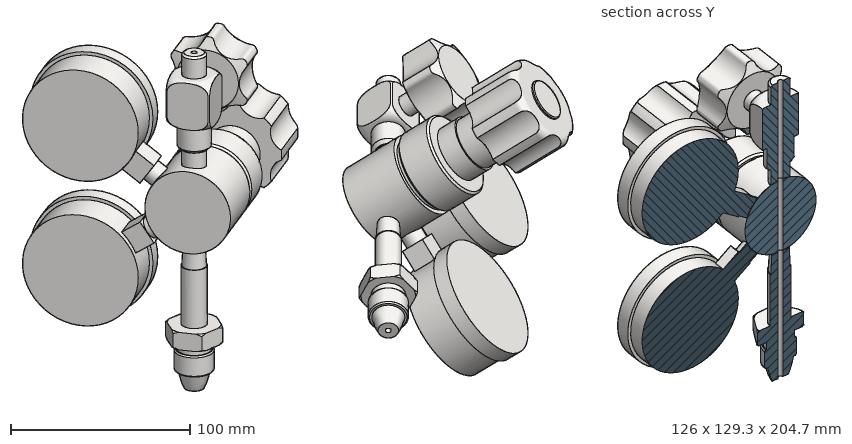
import cadquery as cq
import math


bore_radius = 1.6

body_radius = 25.0
body_front = -12.5
body_back = 24.5
groove_radius = 22.3
bonnet_front = 27.0
bonnet_back = 49.1
bonnet_chamfer = 1.2
wide_barrel_radius = 16.8
wide_barrel_back = 61.8
barrel_radius = 15.8
barrel_back = 74.5
spindle_radius = 7.5

knob_radius = 27.2
knob_front = 77.8
knob_back = 113.2
knob_fillet = 4.7
knob_flute_count = 8
knob_flute_radius = 11.5
knob_flute_offset = 34.8
button_radius = 12.0
button_height = 1.5
button_chamfer = 0.6

gauge_center_x = -63.0
gauge_center_z = 44.2
gauge_case_radius = 33.8
gauge_rim_radius = 35.8
gauge_front = -10.8
gauge_rim_front = 10.5
gauge_back = 19.9
gauge_neck_width = 14.3
gauge_neck_end = 31.0
gauge_stub_radius = 6.5

valve_pipe_radius = 7.0
valve_top = 92.7
valve_top_chamfer = 1.2
valve_block_center = 64.9
valve_block_width = 25.4
valve_block_height = 29.3
valve_block_crown_radius = 17.4
valve_block_crown_fillet = 7.0
valve_collar_radius = 9.6
valve_collar_bottom = 36.5
valve_collar_chamfer = 2.0
valve_stem_radius = 6.3

wheel_radius = 25.0
wheel_front = 25.5
wheel_back = 51.0
wheel_face_radius = 18.0
wheel_bevel_depth = 3.0
wheel_flute_count = 6
wheel_flute_radius = 14.5
wheel_flute_offset = 33.0
wheel_lobe_fillet = 2.5

inlet_thread_radius = 6.3
inlet_thread_end = -37.2
inlet_thread_end_radius = 7.0
inlet_pipe_radius = 7.4
nut_top = -72.9
nut_bottom = -83.5
nut_flat_width = 28.6
nut_turn = 2
nut_face_radius = 15.1
nut_chamfer_height = 1.0
inlet_neck_radius = 9.8
gland_top = -88.2
gland_bottom = -101.0
gland_radius = 11.3
gland_chamfer = 0.8
nose_radius = 9.2
nose_mid_radius = 7.8
nose_mid_z = -106.8
nose_tip_radius = 5.7
inlet_bottom = -112.0


def turned_y(outline):
    """Solid turned about the Y axis from (radius, y) points."""
    return cq.Workplane("XY").polyline(outline).close().revolve(360, (0, 0), (0, 1))


def turned_z(outline):
    """Solid turned about the Z axis from (radius, z) points."""
    return cq.Workplane("XZ").polyline(outline).close().revolve(360, (0, 0), (0, 1))


def cylinder_y(radius, start, end):
    """Cylinder on the Y axis between two Y positions."""
    return cq.Workplane("XZ", origin=(0, start, 0)).circle(radius).extrude(start - end)


def cylinder_z(radius, start, end):
    """Cylinder on the Z axis between two Z positions."""
    return cq.Workplane("XY", origin=(0, 0, start)).circle(radius).extrude(end - start)


def flutes(count, radius, offset, first_angle, start, end):
    """Ring of round cutters along Y that shape the grips of a knob."""
    return (
        cq.Workplane("XZ", origin=(0, start, 0))
        .polarArray(offset, first_angle, 360, count)
        .circle(radius)
        .extrude(start - end)
    )


gas_passage = cylinder_z(bore_radius, inlet_bottom, valve_top)
body_envelope = cylinder_y(body_radius, body_front, body_back)


def make_regulator_knob():
    knob = cylinder_y(knob_radius, knob_front, knob_back).faces(">Y").edges().fillet(knob_fillet)
    first_flute = 180 / knob_flute_count
    knob = knob.cut(
        flutes(knob_flute_count, knob_flute_radius, knob_flute_offset, first_flute, knob_front, knob_back)
    )
    button = cylinder_y(button_radius, knob_back, knob_back + button_height)
    return knob.union(button.faces(">Y").chamfer(button_chamfer))


def make_regulator():
    bonnet = cylinder_y(body_radius, bonnet_front, bonnet_back).edges().chamfer(bonnet_chamfer)
    regulator = (
        body_envelope.union(cylinder_y(groove_radius, body_back, bonnet_front))
        .union(bonnet)
        .union(cylinder_y(wide_barrel_radius, bonnet_back, wide_barrel_back))
        .union(cylinder_y(barrel_radius, wide_barrel_back, barrel_back))
        .union(cylinder_y(spindle_radius, barrel_back, knob_front))
        .union(make_regulator_knob())
    )
    return regulator.cut(gas_passage)


def make_gauge(side):
    """Gauge above (side = 1) or below (side = -1) the regulator axis, its stub seated on the body."""
    center_distance = math.hypot(gauge_center_x, gauge_center_z)
    tilt = math.degrees(math.atan2(gauge_center_z, -gauge_center_x))

    case = cylinder_y(gauge_case_radius, gauge_front, gauge_rim_front)
    rim = cylinder_y(gauge_rim_radius, gauge_rim_front, gauge_back)
    neck_length = center_distance - gauge_neck_end
    neck = (
        cq.Workplane("YZ", origin=(-center_distance, 0, 0))
        .rect(gauge_neck_width, gauge_neck_width)
        .extrude(neck_length)
    )
    stub = (
        cq.Workplane("YZ", origin=(-gauge_neck_end, 0, 0))
        .circle(gauge_stub_radius)
        .extrude(gauge_neck_end)
    )
    gauge = case.union(rim).translate((-center_distance, 0, 0))
    gauge = gauge.union(neck).union(stub.cut(body_envelope))
    return gauge.rotate((0, 0, 0), (0, 1, 0), side * tilt)


def make_valve_block():
    bottom = -valve_block_height / 2
    crown = cylinder_z(valve_block_crown_radius, bottom, -bottom).edges().fillet(valve_block_crown_fillet)
    block = cq.Workplane("XY").box(valve_block_width, valve_block_width, valve_block_height)
    return block.intersect(crown).translate((0, 0, valve_block_center))


def make_handwheel():
    wheel = cylinder_y(wheel_radius, wheel_front, wheel_back)
    wheel = wheel.cut(
        flutes(wheel_flute_count, wheel_flute_radius, wheel_flute_offset, 0, wheel_front, wheel_back)
    )
    wheel = wheel.edges("|Y").fillet(wheel_lobe_fillet)
    beveled_disc = turned_y([
        (0, wheel_front),
        (wheel_face_radius, wheel_front),
        (wheel_radius, wheel_front + wheel_bevel_depth),
        (wheel_radius, wheel_back - wheel_bevel_depth),
        (wheel_face_radius, wheel_back),
        (0, wheel_back),
    ])
    return wheel.intersect(beveled_disc)


def make_valve():
    pipe = cylinder_z(valve_pipe_radius, 0, valve_top).faces(">Z").chamfer(valve_top_chamfer)
    collar = cylinder_z(valve_collar_radius, valve_collar_bottom - valve_collar_chamfer, valve_block_center)
    collar = collar.faces("<Z").chamfer(valve_collar_chamfer)
    stem = cylinder_y(valve_stem_radius, 0, wheel_front)
    operator = stem.union(make_handwheel()).translate((0, 0, valve_block_center))
    valve = pipe.union(collar).union(make_valve_block()).union(operator)
    return valve.cut(body_envelope).cut(gas_passage)


def make_nut():
    corner_radius = nut_flat_width / math.sqrt(3)
    hexagon = (
        cq.Workplane("XY", origin=(0, 0, nut_bottom))
        .polygon(6, 2 * corner_radius)
        .extrude(nut_top - nut_bottom)
        .rotate((0, 0, 0), (0, 0, 1), nut_turn)
    )
    crown = turned_z([
        (0, nut_top),
        (nut_face_radius, nut_top),
        (corner_radius, nut_top - nut_chamfer_height),
        (corner_radius, nut_bottom + nut_chamfer_height),
        (nut_face_radius, nut_bottom),
        (0, nut_bottom),
    ])
    return hexagon.intersect(crown)


def make_inlet():
    tapered_thread = turned_z([
        (0, 0),
        (inlet_thread_radius, 0),
        (inlet_thread_radius, -body_radius),
        (inlet_thread_end_radius, inlet_thread_end),
        (0, inlet_thread_end),
    ])
    pipe = cylinder_z(inlet_pipe_radius, nut_top, inlet_thread_end)
    neck = cylinder_z(inlet_neck_radius, gland_top, nut_bottom)
    gland = cylinder_z(gland_radius, gland_bottom, gland_top).edges().chamfer(gland_chamfer)
    nose = (
        cq.Workplane("XZ")
        .moveTo(0, gland_bottom)
        .lineTo(nose_radius, gland_bottom)
        .threePointArc((nose_mid_radius, nose_mid_z), (nose_tip_radius, inlet_bottom))
        .lineTo(0, inlet_bottom)
        .close()
        .revolve(360, (0, 0), (0, 1))
    )
    inlet = tapered_thread.union(pipe).union(make_nut()).union(neck).union(gland).union(nose)
    return inlet.cut(body_envelope).cut(gas_passage)


regulator = make_regulator()
gauges = [make_gauge(side) for side in (1, -1)]
valve = make_valve()
inlet = make_inlet()

result = cq.Compound.makeCompound([
    regulator.val(),
    *[gauge.val() for gauge in gauges],
    valve.val(),
    inlet.val(),
])